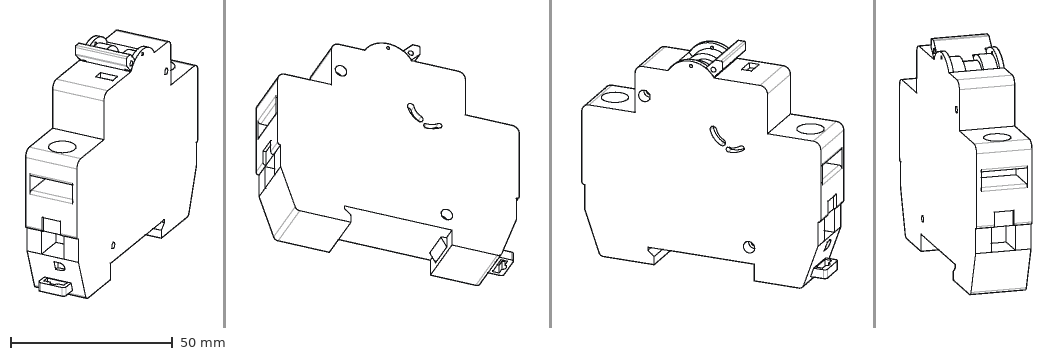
import cadquery as cq
import math


width = 18.0
length = 80.6
shoulder_z = 49.8
tower_length = 44.65
tower_z = 65.5
corner_radius = 2.5
step_z = 23.0
step_depth = 1.0
step_radius = 0.9
slope_top_z = 14.9
base_length = 68.2
base_radius = 1.6

rail_top_z = 5.6
rail_front_y = -17.8
rail_back_y = 18.0
hook_y = 15.9
hook_top_z = 4.5
hook_bottom_z = 2.75

dome_y = 3.5
dome_z = 60.7
dome_radius = 9.2
flange_thickness = 1.5
drum_radius = 7.25
groove_radius = 5.5
groove_width = 5.7
dome_pin_diameter = 1.0
dome_pin_z = 68.3
handle_thickness = 3.9
handle_inner_reach = 9.2
handle_front_y = -7.2
handle_top_z = 71.6
handle_edge_radius = 0.5
handle_pin_diameter = 1.6
handle_pin_reach = 10.7
tongue_width = 13.7
tongue_reach = 7.2
key_width = 4.7
key_reach = 5.2

terminal_y = 33.0
terminal_diameter = 8.5
window_width = 14.9
window_bottom_z = 35.1
window_top_z = 42.1
window_lip_radius = 1.0
window_depth = length / 2 - terminal_y + terminal_diameter / 2
latch_width = 6.4
latch_top_z = 28.05
recess_width = 7.8
recess_depth = 9.7

indicator_x = 3.95
indicator_y = -11.0
indicator_size_x = 6.0
indicator_size_y = 3.4
indicator_depth = 1.6
indicator_draft = 0.25
keyhole_x = 0.1
keyhole_size_x = 3.5
keyhole_z = 11.4
keyhole_height = 3.1
keyhole_depth = 3.2

rivet_places = [(19.2, 55.8), (-16.1, 11.0)]
rivet_diameter = 2.0
rivet_head_diameter = 3.8
rivet_head_depth = 4.0
slot_center_y = -9.7
slot_center_z = 49.6
slot_depth = 2.4
wide_slot = {"radius": 5.7, "slot_width": 2.2, "start_angle": -13, "end_angle": -63}
narrow_slot = {"radius": 7.2, "slot_width": 1.5, "start_angle": -86, "end_angle": -124}

clip_width = 9.35
clip_bottom_z = 2.6
clip_corner_radius = 1.0
clip_nose_y = -15.9
clip_nose_z = 5.15
clip_nose_bottom_z = 1.9
clip_eye_width = 6.9
clip_eye_back_y = -36.35
clip_eye_front_y = -38.5
clip_notch_radius = 1.3
clip_notch_y = -38.2

half_length = length / 2
half_tower = tower_length / 2
wall_y = half_length - step_depth
half_base = base_length / 2
drum_space = width - 2 * flange_thickness


def side_plane(x=0.0):
    """Plane across the width: local x is +Y and local y is +Z."""
    return cq.Workplane("YZ", origin=(x, 0, 0))


def centered_extrude(sketch, size):
    """Extrude a profile drawn on the middle plane equally to both sides."""
    return sketch.extrude(size / 2, both=True)


def block(size_x, y_range, z_range):
    """Box centred across the width that spans the given ranges of Y and Z."""
    size_y = y_range[1] - y_range[0]
    size_z = z_range[1] - z_range[0]
    corner = (-size_x / 2, y_range[0], z_range[0])
    return cq.Workplane("XY").box(size_x, size_y, size_z, centered=False).translate(corner)


def cross_cylinder(y, z, radius, size):
    """Cylinder along X, centred on the middle plane."""
    return centered_extrude(side_plane().center(y, z).circle(radius), size)


def mirrored_ends(shape):
    """The given -Y end feature together with its copy at the +Y end."""
    return shape.union(shape.mirror("XZ"))


def round_edges_along_x(shape, places, radius):
    """Round the full-width edges that run along X through the given (y, z) places."""
    reach = 0.04
    for y, z in places:
        box = cq.selectors.BoxSelector(
            (-width, y - reach, z - reach), (width, y + reach, z + reach)
        )
        shape = shape.edges("|X").edges(box).fillet(radius)
    return shape


def make_housing():
    outline = [
        (-half_base, 0),
        (-wall_y, slope_top_z),
        (-wall_y, step_z),
        (-half_length, step_z),
        (-half_length, shoulder_z),
        (-half_tower, shoulder_z),
        (-half_tower, tower_z),
        (half_tower, tower_z),
        (half_tower, shoulder_z),
        (half_length, shoulder_z),
        (half_length, step_z),
        (wall_y, step_z),
        (wall_y, slope_top_z),
        (half_base, 0),
    ]
    body = centered_extrude(side_plane().polyline(outline).close(), width)
    for side in (-1, 1):
        corners = [(side * half_length, shoulder_z), (side * half_tower, tower_z)]
        body = round_edges_along_x(body, corners, corner_radius)
        body = round_edges_along_x(body, [(side * half_length, step_z)], step_radius)
        body = round_edges_along_x(body, [(side * half_base, 0)], base_radius)
    return body


def rail_notch():
    outline = [
        (rail_front_y, 0),
        (rail_front_y, rail_top_z),
        (rail_back_y, rail_top_z),
        (rail_back_y, hook_top_z),
        (hook_y, hook_bottom_z),
        (hook_y, 0),
    ]
    return centered_extrude(side_plane().polyline(outline).close(), width)


def drum_pocket():
    """V-shaped opening between the flanges, with 45 degree walls below the dome edges."""
    half_opening = math.sqrt(dome_radius**2 - (tower_z - dome_z) ** 2)
    outline = [
        (dome_y - half_opening, tower_z),
        (dome_y, tower_z - half_opening),
        (dome_y + half_opening, tower_z),
        (dome_y + half_opening, handle_top_z),
        (dome_y - half_opening, handle_top_z),
    ]
    return centered_extrude(side_plane().polyline(outline).close(), drum_space)


def make_drum():
    drum = cross_cylinder(dome_y, dome_z, drum_radius, drum_space)
    ring = cross_cylinder(dome_y, dome_z, drum_radius, groove_width)
    core = cross_cylinder(dome_y, dome_z, groove_radius, groove_width)
    return drum.cut(ring).union(core)


def handle_point(reach, offset):
    """(y, z) at a reach along the 45 degree handle axis and an offset towards +Y and +Z."""
    half_root = math.sqrt(0.5)
    return dome_y - (reach - offset) * half_root, dome_z + (reach + offset) * half_root


def make_handle():
    half = handle_thickness / 2
    inner_top = handle_point(handle_inner_reach, half)
    inner_bottom = handle_point(handle_inner_reach, -half)
    top_corner = (inner_top[0] - (handle_top_z - inner_top[1]), handle_top_z)
    front_corner = (handle_front_y, inner_bottom[1] + inner_bottom[0] - handle_front_y)
    outer_corner = (handle_front_y, handle_top_z)
    outline = [inner_top, top_corner, outer_corner, front_corner, inner_bottom]
    bar = centered_extrude(side_plane().polyline(outline).close(), width)
    bar = round_edges_along_x(bar, [top_corner, outer_corner, front_corner], handle_edge_radius)

    for tongue_size, reach in ((tongue_width, tongue_reach), (key_width, key_reach)):
        tongue_outline = [
            handle_point(reach, half),
            inner_top,
            inner_bottom,
            handle_point(reach, -half),
        ]
        tongue = centered_extrude(side_plane().polyline(tongue_outline).close(), tongue_size)
        bar = bar.union(tongue)
    pin_y, pin_z = handle_point(handle_pin_reach, 0)
    return bar.cut(cross_cylinder(pin_y, pin_z, handle_pin_diameter / 2, width))


def terminal_cuts():
    """Screw well, cable window with rounded lips, latch recess and label recess at the -Y end."""
    well = (
        cq.Workplane("XY", origin=(0, -terminal_y, window_bottom_z + window_lip_radius))
        .circle(terminal_diameter / 2)
        .extrude(tower_z - window_bottom_z)
    )
    lip = window_lip_radius
    face_y = -half_length
    back_y = face_y + window_depth
    window_outline = (
        side_plane()
        .moveTo(face_y, window_bottom_z)
        .radiusArc((face_y + lip, window_bottom_z + lip), lip)
        .lineTo(back_y, window_bottom_z + lip)
        .lineTo(back_y, window_top_z - lip)
        .lineTo(face_y + lip, window_top_z - lip)
        .radiusArc((face_y, window_top_z), lip)
        .close()
    )
    window = centered_extrude(window_outline, window_width)
    latch = block(latch_width, (face_y, -wall_y), (step_z, latch_top_z))
    recess = block(recess_width, (face_y, -wall_y + recess_depth), (slope_top_z, step_z))
    return mirrored_ends(well.union(window).union(latch).union(recess))


def indicator_window():
    """Shallow pocket in the tower roof whose two long walls lean inwards."""
    half_top = indicator_size_y / 2
    half_floor = half_top - indicator_draft
    floor_z = tower_z - indicator_depth
    outline = [
        (indicator_y - half_top, tower_z),
        (indicator_y + half_top, tower_z),
        (indicator_y + half_floor, floor_z),
        (indicator_y - half_floor, floor_z),
    ]
    pocket = centered_extrude(side_plane().polyline(outline).close(), indicator_size_x)
    return pocket.translate((indicator_x, 0, 0))


def keyhole():
    """D-shaped pocket in the sloped front wall, round towards +X."""
    radius = keyhole_height / 2
    round_x = keyhole_x + keyhole_size_x - radius
    return (
        cq.Workplane("XZ", origin=(0, -half_length, 0))
        .moveTo(keyhole_x, keyhole_z - radius)
        .lineTo(round_x, keyhole_z - radius)
        .threePointArc((round_x + radius, keyhole_z), (round_x, keyhole_z + radius))
        .lineTo(keyhole_x, keyhole_z + radius)
        .close()
        .extrude(-(step_depth + keyhole_depth))
    )


def rivet_holes():
    holes = side_plane(-width / 2).pushPoints(rivet_places).circle(rivet_diameter / 2).extrude(width)
    heads = (
        side_plane(-width / 2)
        .pushPoints(rivet_places)
        .circle(rivet_head_diameter / 2)
        .extrude(rivet_head_depth)
    )
    return holes.union(heads)


def curved_slot(radius, slot_width, start_angle, end_angle):
    """Round-ended slot along an arc about the slot centre, angles from +Y towards +Z."""

    def at(distance, angle):
        turn = math.radians(angle)
        return (
            slot_center_y + distance * math.cos(turn),
            slot_center_z + distance * math.sin(turn),
        )

    half = slot_width / 2
    inner = radius - half
    outer = radius + half
    middle_angle = (start_angle + end_angle) / 2
    return (
        side_plane(-width / 2)
        .moveTo(*at(inner, start_angle))
        .threePointArc(at(inner, middle_angle), at(inner, end_angle))
        .radiusArc(at(outer, end_angle), -half)
        .threePointArc(at(outer, middle_angle), at(outer, start_angle))
        .radiusArc(at(inner, start_angle), -half)
        .close()
        .extrude(slot_depth)
    )


def make_clip():
    """Sliding rail clip: a pull tab with an eye in front and a sloped nose in the rail notch."""
    tab = block(clip_width, (-half_length, rail_front_y), (clip_bottom_z, rail_top_z))
    tab = tab.edges("|Z and <Y").fillet(clip_corner_radius)
    eye_z = (clip_bottom_z, rail_top_z)
    eye = block(clip_eye_width, (clip_eye_front_y, clip_eye_back_y), eye_z)
    notch = (
        cq.Workplane("XY", origin=(0, clip_notch_y, clip_bottom_z))
        .circle(clip_notch_radius)
        .extrude(rail_top_z - clip_bottom_z)
    )
    nose_outline = [
        (rail_front_y, rail_top_z),
        (clip_nose_y, clip_nose_z),
        (rail_front_y, clip_nose_bottom_z),
    ]
    nose = centered_extrude(side_plane().polyline(nose_outline).close(), clip_width)
    return tab.cut(eye).cut(notch).union(nose)


housing = make_housing().union(cross_cylinder(dome_y, dome_z, dome_radius, width))
housing = housing.cut(rail_notch()).cut(drum_pocket())
housing = housing.cut(cross_cylinder(dome_y, dome_pin_z, dome_pin_diameter / 2, width))
housing = housing.cut(terminal_cuts()).cut(indicator_window()).cut(keyhole()).cut(rivet_holes())
housing = housing.cut(curved_slot(**wide_slot)).cut(curved_slot(**narrow_slot))

result = housing.union(make_drum()).union(make_handle()).union(make_clip())